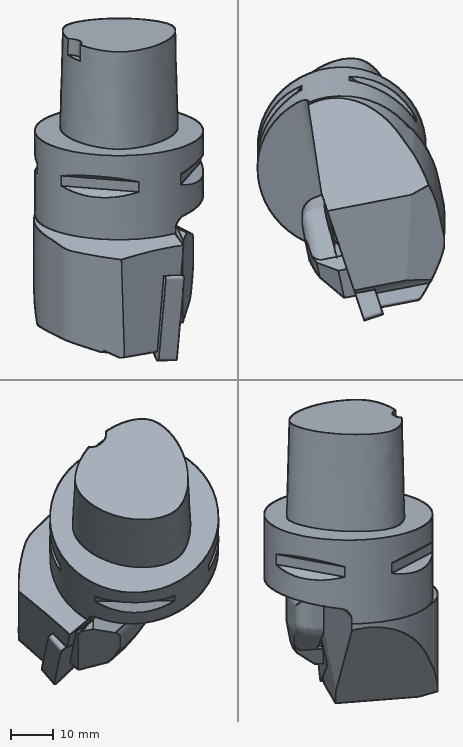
import cadquery as cq
import math


shank_height = 24.0
shank_width = 28.0
lobe_height = 0.9
shank_taper = 1 / 20
shank_curve_points = 36
notch_radius = 3.57
notch_reach = -10.86
notch_depth = 4.0

flange_radius = 20.0
flange_height = 20.9
groove_floor_distance = 17.6
groove_floor_width = 2.5
groove_flank_angle = 30.0
groove_centre_z = -7.95
groove_count = 4

back_y = 4.1
relief_edge_z = -15.9
relief_arc_start = (7.2, -17.1)
relief_arc_mid = (5.0, -18.0)
relief_arc_end = (back_y, -20.2)

head_bottom = -50.0
head_front_y = -22.39
head_right_x = 26.0
rim_exit = (-10.2, -17.2)
belly_start = (-7.7, -18.95)
belly_mid = (-1.4, -21.55)
front_flat_start_x = 5.2
front_flat_end_x = 11.5
corner_mid = (13.5, -22.12)
corner_end = (15.3, -21.4)
nose_mid = (20.7, -17.85)
nose_end_y = -12.7

head_shoulder_angle = 15.0
heel_start_z = -22.0
heel_end = (-0.75, -46.75)
toe_end = (19.5, -48.4)
toe_relief = (20.9, -46.85)
seat_inner = (22.0, -46.2)
seat_outer = (25.45, -48.05)
seat_corner_radius = 0.6
head_side_top_x = 24.9
front_bevel_start = (-11.7, -48.4)
front_bevel_slope = 0.31

insert_edge = 22.0
insert_thickness = 4.76
insert_nose_radius = 0.8
insert_tilt = 6.0
insert_corner = (27.14, -0.02, -50.57)
insert_lead_angle = 91.2

clamp_left_x = 4.0
clamp_right_x = 23.0
clamp_shoulder_x = 19.0
clamp_shoulder_z = -22.2
clamp_top_z = -20.0
clamp_knee_z = -30.6
clamp_toe = (14.0, -37.8)
clamp_tip = (16.0, -42.2)
clamp_knee_radius = 3.0
clamp_post_left_x = 16.0
clamp_underside_y = 5.0
clamp_underside_end_z = -31.0
clamp_back_y = 11.1
clamp_edge_radius = 3.6
clamp_root = (0.0, -24.0)
clamp_foot_z = -23.3
clamp_crest = (10.3, -22.8)
clamp_crest_mid = (10.9, -23.7)
clamp_crest_end_z = -25.1
clamp_back_end_z = -30.9
clamp_lower_bend = (9.9, -36.2)
clamp_lower_corner = (9.0, -38.4)
clamp_bevel = clamp_back_y - back_y

span = 100.0

tilt = math.tan(math.radians(insert_tilt))
rake_normal = (-tilt, -1.0, tilt)
rake_plane = cq.Plane(origin=insert_corner, xDir=(1.0, -tilt, 0.0), normal=rake_normal)


def shank_outline(z):
    """Closed three-lobed curve of constant width, with one lobe at +Y."""
    half_width = (shank_width - shank_taper * z) / 2
    points = []
    for i in range(shank_curve_points):
        angle = 2 * math.pi * i / shank_curve_points
        lobe_angle = 3 * (angle - math.pi / 2)
        reach = half_width + lobe_height * math.cos(lobe_angle)
        slide = -3 * lobe_height * math.sin(lobe_angle)
        x = reach * math.cos(angle) - slide * math.sin(angle)
        y = reach * math.sin(angle) + slide * math.cos(angle)
        points.append(cq.Vector(x, y, z))
    return cq.Wire.assembleEdges([cq.Edge.makeSpline(points, periodic=True)])


def make_shank():
    outlines = [shank_outline(0), shank_outline(shank_height)]
    shank = cq.Workplane(cq.Solid.makeLoft(outlines, True))
    notch = (
        cq.Workplane("XY", origin=(0, notch_reach - notch_radius, shank_height - notch_depth))
        .circle(notch_radius)
        .extrude(2 * notch_depth)
    )
    return shank.cut(notch)


def make_groove(angle):
    """Straight trapezoidal groove across the flange rim, facing the given angle."""
    depth = flange_radius - groove_floor_distance
    floor = groove_floor_width / 2
    mouth = floor + depth * math.tan(math.radians(groove_flank_angle))
    profile = [
        (groove_floor_distance, -floor),
        (flange_radius, -mouth),
        (flange_radius, mouth),
        (groove_floor_distance, floor),
    ]
    return (
        cq.Workplane("XZ", origin=(0, 0, groove_centre_z))
        .polyline(profile)
        .close()
        .extrude(flange_radius, both=True)
        .rotate((0, 0, 0), (0, 0, 1), angle)
    )


def make_flange():
    flange = cq.Workplane("XY").circle(flange_radius).extrude(-flange_height)
    for i in range(groove_count):
        flange = flange.cut(make_groove((i + 1 / 2) * 360 / groove_count))
    relief = (
        cq.Workplane("YZ")
        .moveTo(flange_radius, relief_edge_z)
        .lineTo(*relief_arc_start)
        .threePointArc(relief_arc_mid, relief_arc_end)
        .lineTo(back_y, -flange_height)
        .lineTo(flange_radius, -flange_height)
        .close()
        .extrude(span, both=True)
    )
    return flange.cut(relief)


def head_footprint():
    """Outline of the head seen along Z, blending from the flange rim to the cutting side."""
    rim_back_x = -math.sqrt(flange_radius**2 - back_y**2)
    return (
        cq.Workplane("XY", origin=(0, 0, -flange_height))
        .moveTo(head_right_x, back_y)
        .lineTo(rim_back_x, back_y)
        .radiusArc(rim_exit, -flange_radius)
        .lineTo(*belly_start)
        .threePointArc(belly_mid, (front_flat_start_x, head_front_y))
        .lineTo(front_flat_end_x, head_front_y)
        .threePointArc(corner_mid, corner_end)
        .threePointArc(nose_mid, (head_right_x, nose_end_y))
        .close()
        .extrude(head_bottom + flange_height)
    )


def head_side_profile():
    """Sloping heel, toe and insert seat, running through the head along Y."""
    profile = (
        cq.Workplane("XZ")
        .moveTo(-flange_radius, -flange_height)
        .lineTo(-flange_radius, heel_start_z)
        .lineTo(*heel_end)
        .lineTo(*toe_end)
        .lineTo(*toe_relief)
        .lineTo(*seat_inner)
        .lineTo(*seat_outer)
        .lineTo(head_side_top_x, -flange_height)
        .close()
        .extrude(span, both=True)
    )
    seat_edge = cq.selectors.NearestToPointSelector((seat_outer[0], 0, seat_outer[1]))
    return profile.edges("|Y").edges(seat_edge).fillet(seat_corner_radius)


def make_head():
    head = head_footprint().intersect(head_side_profile())

    shoulder_drop = (span - flange_radius) * math.tan(math.radians(head_shoulder_angle))
    shoulder = (
        cq.Workplane("XZ")
        .polyline([
            (flange_radius, -flange_height),
            (span, -flange_height),
            (span, -flange_height - shoulder_drop),
        ])
        .close()
        .revolve(360, (0, 0, 0), (0, 1, 0))
    )

    bevel_y, bevel_z = front_bevel_start
    bevel_end_z = bevel_z + front_bevel_slope * (bevel_y + span)
    front_bevel = (
        cq.Workplane("YZ")
        .polyline([(bevel_y, bevel_z), (-span, bevel_end_z), (-span, bevel_z)])
        .close()
        .extrude(span, both=True)
    )

    behind_rake = cq.Workplane(rake_plane).rect(2 * span, 2 * span).extrude(-span)
    return head.cut(shoulder).cut(front_bevel).cut(behind_rake)


def make_clamp():
    """Rounded clamp standing on the back face, bevelled towards the insert."""
    plan = [
        (clamp_left_x, clamp_top_z),
        (clamp_shoulder_x, clamp_top_z),
        (clamp_right_x, clamp_shoulder_z),
        (clamp_right_x, clamp_tip[1]),
        clamp_tip,
        clamp_toe,
        (clamp_left_x, clamp_knee_z),
    ]
    block = cq.Workplane("XZ").polyline(plan).close().extrude(-clamp_back_y)
    knee = cq.selectors.NearestToPointSelector((clamp_left_x, clamp_back_y / 2, clamp_knee_z))
    block = block.edges("|Y").edges(knee).fillet(clamp_knee_radius)
    left_edges = cq.selectors.BoxSelector(
        (clamp_left_x - 1, clamp_back_y - 1, clamp_toe[1]),
        (clamp_toe[0] - 1, clamp_back_y + 1, clamp_top_z - 1),
    )
    block = block.edges(left_edges).fillet(clamp_edge_radius)
    profile = (
        cq.Workplane("YZ")
        .moveTo(*clamp_root)
        .lineTo(back_y, clamp_foot_z)
        .lineTo(clamp_underside_y, clamp_top_z)
        .lineTo(*clamp_crest)
        .threePointArc(clamp_crest_mid, (clamp_back_y, clamp_crest_end_z))
        .lineTo(clamp_back_y, clamp_back_end_z)
        .lineTo(*clamp_lower_bend)
        .lineTo(*clamp_lower_corner)
        .lineTo(back_y, clamp_tip[1])
        .lineTo(clamp_root[0], clamp_tip[1])
        .close()
        .extrude(span)
    )
    side_bevel = (
        cq.Workplane("XY")
        .polyline([
            (clamp_right_x, back_y),
            (clamp_right_x, clamp_back_y),
            (clamp_right_x - clamp_bevel, clamp_back_y),
        ])
        .close()
        .extrude(-span)
    )

    gap = (
        cq.Workplane("YZ")
        .polyline([
            (0, clamp_top_z),
            (clamp_underside_y, clamp_top_z),
            (clamp_underside_y, clamp_underside_end_z),
            (back_y, clamp_toe[1]),
            (0, clamp_toe[1]),
        ])
        .close()
        .extrude(clamp_post_left_x)
    )
    return block.intersect(profile).cut(side_bevel).cut(gap)


def make_insert():
    """Equilateral insert lying below the rake plane, with its cutting corner at the lowest point."""
    corner_angle = 60
    directions = [math.radians(insert_lead_angle + turn) for turn in (0, corner_angle)]
    corners = [(0, 0)]
    for direction in directions:
        corners.append((insert_edge * math.cos(direction), insert_edge * math.sin(direction)))
    return (
        cq.Workplane(rake_plane)
        .polyline(corners)
        .close()
        .extrude(insert_thickness)
        .edges(cq.selectors.ParallelDirSelector(cq.Vector(*rake_normal)))
        .fillet(insert_nose_radius)
    )


insert = make_insert()
holder = make_flange().union(make_shank()).union(make_head()).union(make_clamp()).cut(insert)

result = cq.Compound.makeCompound([holder.val(), insert.val()])